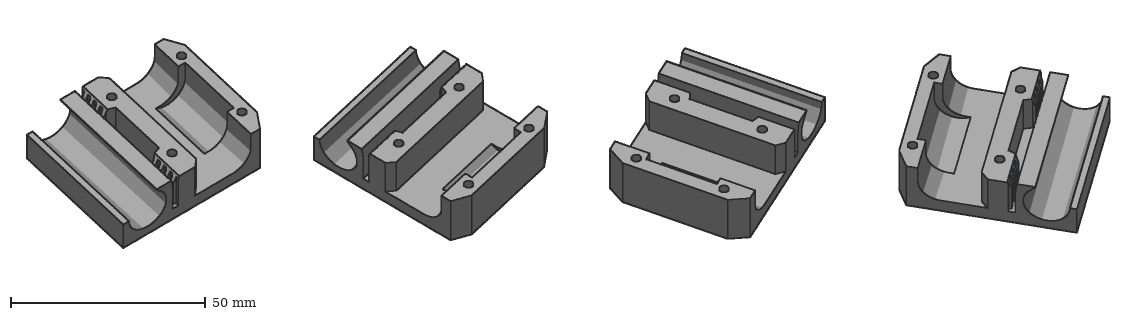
import cadquery as cq
import math

WIDTH = 40.0
LENGTH = 48.0
HEIGHT = 15.0
FLOOR_Z = 4.0
OVERCUT = 0.5

TROUGH_RADIUS = 6.0
TROUGH_BACK_Y = 42.0
TROUGH_AXIS_Z = FLOOR_Z + TROUGH_RADIUS

POCKET_WIDTH = 20.15
POCKET_RADIUS = 6.15
POCKET_AXIS_Z = 9.0
POCKET_BACK_Y = 44.2

RIB_BACK_Y = 25.6
RIB_TOP_FRONT_Y = 18.45
RIB_CORNER = 2.0
TOOTH_ROOT_Y = 18.15
TOOTH_TIP_Y = 17.4
TOOTH_ROOT_WIDTH = 1.6
TOOTH_TIP_WIDTH = 1.05
TOOTH_PITCH = 2.55
TEETH_PER_SIDE = 4
FIRST_TOOTH_INSET = 1.7

SLOT_FRONT_Y = 16.25
SLOT_MOUTH_FRONT_Y = 15.8
FLARE_DEPTH = 3.0

RECESS_BACK_Y = 20.45
RECESS_BACK_WIDTH = 17.95
RECESS_FRONT_WIDTH = 20.25

BORE_RADIUS = POCKET_RADIUS
BORE_Y = 8.0
BORE_Z = POCKET_AXIS_Z
LIP_TIP_Y = 11.0

CORNER_X = 5.0
CORNER_Y = 3.0
HOLE_DIAMETER = 2.5
HOLE_SPACING = 25.0
HOLE_ROWS_Y = (45.0, 22.0)


def extrude_along_x(profile, width):
    """Extrude a (Y, Z) profile symmetrically about X = 0."""
    return profile.extrude(width / 2, both=True)


def extrude_above_floor(points):
    """Extrude an (X, Y) outline from the floor to the top face."""
    outline = cq.Workplane("XY").workplane(offset=FLOOR_Z).polyline(points).close()
    return outline.extrude(HEIGHT - FLOOR_Z)


def base_block():
    half = WIDTH / 2
    outline = [
        (-half, 0),
        (half, 0),
        (half, LENGTH - CORNER_Y),
        (half - CORNER_X, LENGTH),
        (-half + CORNER_X, LENGTH),
        (-half, LENGTH - CORNER_Y),
    ]
    return cq.Workplane("XY").polyline(outline).close().extrude(HEIGHT)


def trough():
    axis_y = TROUGH_BACK_Y - TROUGH_RADIUS
    diagonal = TROUGH_RADIUS * math.sqrt(0.5)
    profile = (
        cq.Workplane("YZ")
        .moveTo(RIB_BACK_Y, HEIGHT)
        .lineTo(RIB_BACK_Y, FLOOR_Z)
        .lineTo(axis_y, FLOOR_Z)
        .threePointArc((axis_y + diagonal, TROUGH_AXIS_Z - diagonal), (TROUGH_BACK_Y, TROUGH_AXIS_Z))
        .lineTo(TROUGH_BACK_Y, HEIGHT)
        .close()
    )
    return extrude_along_x(profile, WIDTH)


def trough_pocket():
    axis_y = POCKET_BACK_Y - POCKET_RADIUS
    front_y = axis_y - POCKET_RADIUS
    profile = (
        cq.Workplane("YZ")
        .moveTo(front_y, HEIGHT)
        .lineTo(front_y, POCKET_AXIS_Z)
        .threePointArc((axis_y, POCKET_AXIS_Z - POCKET_RADIUS), (POCKET_BACK_Y, POCKET_AXIS_Z))
        .lineTo(POCKET_BACK_Y, HEIGHT)
        .close()
    )
    return extrude_along_x(profile, POCKET_WIDTH)


def rib_corner(side):
    edge = side * WIDTH / 2
    return extrude_above_floor([
        (edge, RIB_BACK_Y),
        (edge - side * RIB_CORNER, RIB_BACK_Y),
        (edge, RIB_BACK_Y - RIB_CORNER),
    ])


def slot(back_y):
    """Slot with a straight back at back_y and a flared mouth."""
    straight = cq.Workplane("YZ").polyline([
        (SLOT_FRONT_Y, FLOOR_Z),
        (back_y, FLOOR_Z),
        (back_y, HEIGHT),
        (SLOT_MOUTH_FRONT_Y, HEIGHT),
        (SLOT_FRONT_Y, HEIGHT - FLARE_DEPTH),
    ]).close()
    flare = cq.Workplane("YZ").polyline([
        (SLOT_FRONT_Y, HEIGHT - FLARE_DEPTH),
        (TOOTH_TIP_Y, HEIGHT - FLARE_DEPTH),
        (RIB_TOP_FRONT_Y, HEIGHT),
        (SLOT_FRONT_Y, HEIGHT),
    ]).close()
    return extrude_along_x(straight, WIDTH).union(extrude_along_x(flare, WIDTH))


def tooth(center_x):
    root_half = TOOTH_ROOT_WIDTH / 2
    tip_half = TOOTH_TIP_WIDTH / 2
    return extrude_above_floor([
        (center_x - root_half, TOOTH_ROOT_Y),
        (center_x - tip_half, TOOTH_TIP_Y),
        (center_x + tip_half, TOOTH_TIP_Y),
        (center_x + root_half, TOOTH_ROOT_Y),
    ])


def toothed_slot():
    gaps = slot(TOOTH_ROOT_Y)
    for side in (-1, 1):
        for index in range(TEETH_PER_SIDE):
            inset = FIRST_TOOTH_INSET + index * TOOTH_PITCH
            gaps = gaps.cut(tooth(side * (WIDTH / 2 - inset)))
    return gaps.union(slot(TOOTH_TIP_Y))


def rib_recess():
    back_half = RECESS_BACK_WIDTH / 2
    front_half = RECESS_FRONT_WIDTH / 2
    return extrude_above_floor([
        (-front_half, TOOTH_TIP_Y),
        (front_half, TOOTH_TIP_Y),
        (back_half, RECESS_BACK_Y),
        (-back_half, RECESS_BACK_Y),
    ])


def front_bore():
    diagonal = BORE_RADIUS * math.sqrt(0.5)
    tangent_y = BORE_Y + diagonal
    tangent_z = BORE_Z + diagonal
    tip_z = tangent_z + tangent_y - LIP_TIP_Y
    profile = (
        cq.Workplane("YZ")
        .moveTo(LIP_TIP_Y, HEIGHT)
        .lineTo(LIP_TIP_Y, tip_z)
        .lineTo(tangent_y, tangent_z)
        .threePointArc((BORE_Y + diagonal, BORE_Z - diagonal), (BORE_Y - BORE_RADIUS, BORE_Z))
        .lineTo(-OVERCUT, BORE_Z)
        .lineTo(-OVERCUT, HEIGHT)
        .close()
    )
    return extrude_along_x(profile, WIDTH)


def screw_holes():
    centers = [(side * HOLE_SPACING / 2, y) for y in HOLE_ROWS_Y for side in (-1, 1)]
    return cq.Workplane("XY").pushPoints(centers).circle(HOLE_DIAMETER / 2).extrude(HEIGHT)


result = base_block().cut(trough()).cut(trough_pocket())
for rib_side in (-1, 1):
    result = result.cut(rib_corner(rib_side))
result = result.cut(toothed_slot()).cut(rib_recess()).cut(front_bore()).cut(screw_holes())